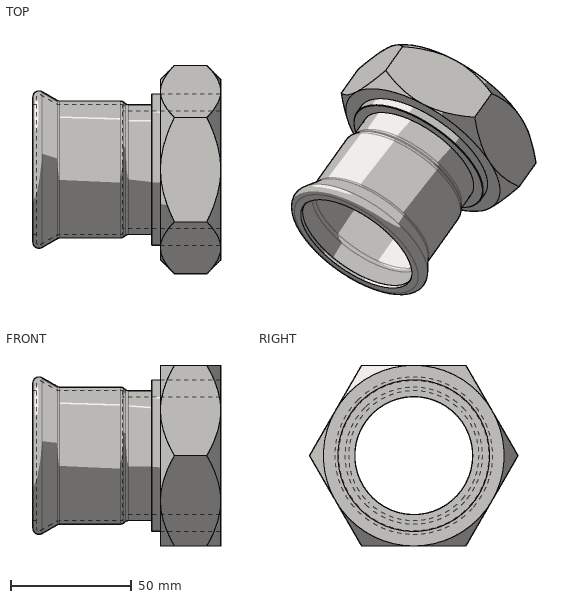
import cadquery as cq
import math


total_length = 78.0
nut_width_across_corners = 86.6

socket_outer_radius = 57.0 / 2
neck_radius = 54.0 / 2
collar_radius = 63.0 / 2
wall = 1.5
socket_bore_radius = socket_outer_radius - wall
through_bore_radius = 24.4
collar_start = 49.3
collar_chamfer = 0.3

lip_round = 2.6
lip_center_radius = 30.1
lip_cone_angle = math.radians(30)
lip_blend_radius = 1.9

shoulder_start = 36.4
shoulder_end = 39.75
shoulder_angle = math.radians(36.5)
socket_depth = 37.2

nut_start = 53.0
nut_length = total_length - nut_start
corner_radius = nut_width_across_corners / 2
flat_radius = corner_radius * math.cos(math.pi / 6)
corner_chamfer = corner_radius - flat_radius


def arc_point(center, radius, angle):
    """Point on an arc, with the angle measured from the radial direction towards +X."""
    return (center[0] + radius * math.sin(angle), center[1] + radius * math.cos(angle))


def revolve_about_x(profile):
    return profile.close().revolve(360, (0, 0, 0), (1, 0, 0))


lip_center = (lip_round, lip_center_radius)
blend_center_radius = socket_outer_radius + lip_blend_radius
radial_drop = lip_center_radius - blend_center_radius
cone_contact_distance = lip_round + lip_blend_radius
blend_center = (
    lip_round + (cone_contact_distance + radial_drop * math.cos(lip_cone_angle)) / math.sin(lip_cone_angle),
    blend_center_radius,
)


def add_shoulder(profile):
    """Two equal tangent arcs with a straight cone between them, from socket to neck."""
    angle = shoulder_angle
    length = shoulder_end - shoulder_start
    drop = socket_outer_radius - neck_radius
    arc_radius = (length - drop / math.tan(angle)) / (2 * math.tan(angle / 2))
    first_center = (shoulder_start, socket_outer_radius - arc_radius)
    second_center = (shoulder_end, neck_radius + arc_radius)
    return (
        profile.lineTo(shoulder_start, socket_outer_radius)
        .threePointArc(
            arc_point(first_center, arc_radius, angle / 2),
            arc_point(first_center, arc_radius, angle),
        )
        .lineTo(*arc_point(second_center, -arc_radius, angle))
        .threePointArc(
            arc_point(second_center, -arc_radius, angle / 2),
            (shoulder_end, neck_radius),
        )
    )


def make_lip_edge(profile, round_radius, blend_radius):
    """Lip round, cone and blend, from the front of the round to the straight socket."""
    middle_angle = (lip_cone_angle - math.pi / 2) / 2
    return (
        profile.threePointArc(
            arc_point(lip_center, round_radius, middle_angle),
            arc_point(lip_center, round_radius, lip_cone_angle),
        )
        .lineTo(*arc_point(blend_center, -blend_radius, lip_cone_angle))
        .threePointArc(
            arc_point(blend_center, -blend_radius, lip_cone_angle / 2),
            (blend_center[0], blend_center[1] - blend_radius),
        )
    )


def make_outer_shape():
    profile = cq.Workplane("XY").moveTo(0, 0).lineTo(0, lip_center_radius)
    profile = add_shoulder(make_lip_edge(profile, lip_round, lip_blend_radius))
    profile = (
        profile.lineTo(collar_start, neck_radius)
        .lineTo(collar_start, collar_radius - collar_chamfer)
        .lineTo(collar_start + collar_chamfer, collar_radius)
        .lineTo(total_length, collar_radius)
        .lineTo(total_length, 0)
    )
    return revolve_about_x(profile)


def make_bore():
    """Mouth opening, seal groove, socket down to its stop, and through bore."""
    profile = (
        cq.Workplane("XY")
        .moveTo(0, 0)
        .lineTo(0, socket_bore_radius)
        .lineTo(wall, socket_bore_radius)
        .lineTo(wall, lip_center_radius)
    )
    profile = make_lip_edge(profile, lip_round - wall, lip_blend_radius + wall)
    profile = (
        profile.lineTo(socket_depth, socket_bore_radius)
        .lineTo(socket_depth, through_bore_radius)
        .lineTo(total_length, through_bore_radius)
        .lineTo(total_length, 0)
    )
    return revolve_about_x(profile)


def make_fitting():
    return make_outer_shape().cut(make_bore())


def make_nut():
    """Hexagon with corners along Y, chamfered at both ends and bored for the collar."""
    blank = (
        cq.Workplane("YZ", origin=(nut_start, 0, 0))
        .polygon(6, nut_width_across_corners)
        .extrude(nut_length)
    )
    chamfered_round = (
        cq.Workplane("YZ", origin=(nut_start, 0, 0))
        .circle(corner_radius)
        .extrude(nut_length)
        .faces("<X or >X")
        .chamfer(corner_chamfer)
    )
    bore = cq.Workplane("YZ", origin=(nut_start, 0, 0)).circle(collar_radius).extrude(nut_length)
    return blank.intersect(chamfered_round).cut(bore)


fitting = make_fitting()
nut = make_nut()
result = cq.Compound.makeCompound([fitting.solids().val(), nut.solids().val()])